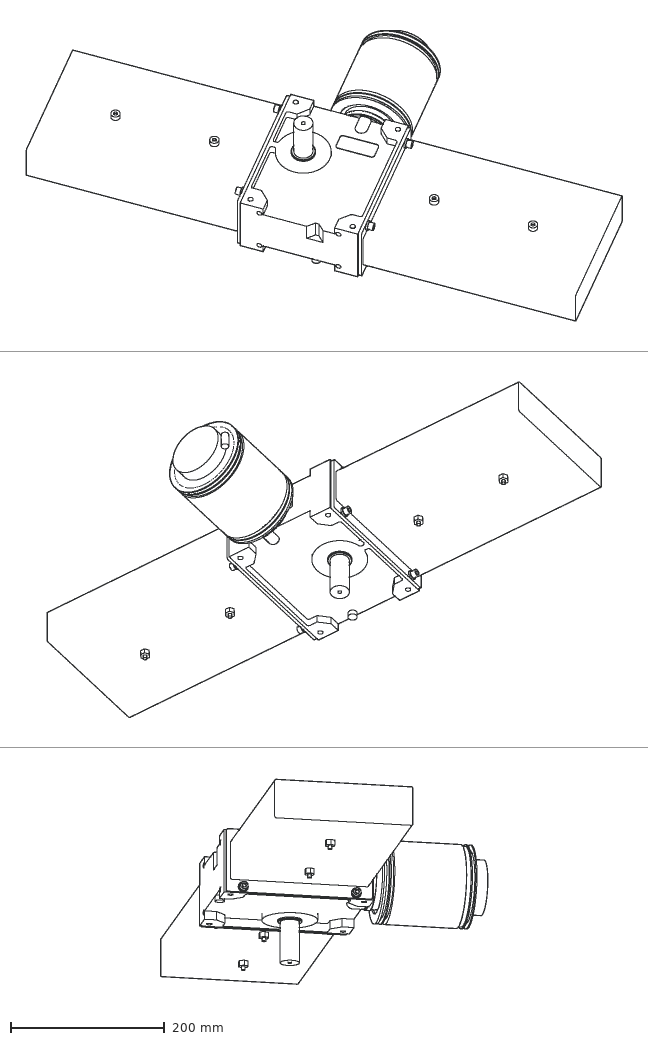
import cadquery as cq
import math


TOTAL_LENGTH = 758.0

HOUSING_X = 162.0
HOUSING_Y = 198.5
HOUSING_Z = 85.0
FACE_RECESS = 11.0
RIM = 4.5
POCKET_CORNER = 3.0
PAD_INNER_X = 49.0
PAD_INNER_Y = 70.0
PAD_CUT_X = 13.0
PAD_CUT_Y = 14.0
PAD_HOLE_X = 70.5
PAD_HOLE_Y = 89.0
PAD_HOLE_D = 6.7
FRONT_HOLE_X = 54.5
FRONT_HOLE_Z = 32.0
SMALL_HOLE_DEPTH = 7.5

SHAFT_X = -32.5
SHAFT_Y = 10.5
SHAFT_D = 25.0
SHAFT_LENGTH = 200.0
COLLAR_D = 32.0
COLLAR_HEIGHT = 2.0
COLLAR_CHAMFER = 1.0
CENTRE_HOLE_D = 4.9
BOSS_D = 73.0
BOSS_FOOT = 2.0
WEB_WIDTH = 9.0

INPUT_X = 22.0
INPUT_BULGE_D = 17.0
INPUT_BULGE_Z = 29.5
INPUT_BULGE_END_Y = 75.0
PLATE_X = 53.0
PLATE_Y = 23.0
PLATE_MIN_X = 1.0
PLATE_MIN_Y = 41.0
PLATE_CORNER = 4.0
PLATE_THICKNESS = 1.0
NOTCH_WIDTH = 23.0
NOTCH_FLOOR_WIDTH = 4.5
NOTCH_DEPTH = 9.0
NOTCH_BOTTOM_Z = 7.5
PLUG_D = 12.0
PLUG_HEIGHT = 7.0

CLUTCH_END_Y = 255.5
CLUTCH_D = 110.0
HUB_D = 73.0
STOP_RING_D = 76.0
GROOVE_D = 95.5
NECK_D = 105.0
RING_START_Y = 101.5
RING_END_Y = 108.0
END_RECESS_D = 83.5
END_RECESS_DEPTH = 2.0
DISC_THICKNESS = 1.5
INNER_PLATE_Y = 114.5
INNER_CONE_Y = 117.5
INNER_DISC_Y = 122.0
DRUM_START_Y = 128.0
DRUM_END_Y = 223.5
OUTER_DISC_Y = 230.0
OUTER_PLATE_Y = 236.0
OUTER_HUB_Y = 237.0
CLAMP_D = 10.0
CLAMP_LENGTH = 20.5
CLAMP_OFFSET_X = 41.0
CLAMP_YS = (105.0, 246.0)

FLANGE_THICKNESS = 4.5
FLANGE_Y = 194.0
FLANGE_CORNER = 2.0
GUARD_Y = 183.5
GUARD_Z = 52.0
GUARD_EDGE = 2.0
BOLT_Y = 75.0
BOLT_Z = 36.0
WASHER_D = 13.0
WASHER_THICKNESS = 2.0
BOLT_HEAD_D = 10.0
BOLT_HEAD_HEIGHT = 7.0
SOCKET_D = 4.9
SOCKET_DEPTH = 3.0
COVER_SCREW_XS = (151.5, 288.0)
COVER_HEAD_D = 12.0
COVER_HEAD_HEIGHT = 7.0
NUT_CORNERS_D = 13.0
STUD_D = 4.9
STUD_LENGTH = 4.5

HALF_X = HOUSING_X / 2
HALF_Y = HOUSING_Y / 2
HALF_Z = HOUSING_Z / 2
FLOOR_Z = HALF_Z - FACE_RECESS
FLANGE_FACE_X = HALF_X + FLANGE_THICKNESS


def cylinder(diameter, length, base, axis):
    """Solid cylinder starting at the base point and running along the axis."""
    return cq.Workplane(cq.Solid.makeCylinder(diameter / 2, length, cq.Vector(*base), cq.Vector(*axis)))


def both_faces(shape):
    """A shape together with its mirror image in the XY plane."""
    return shape.union(shape.mirror("XY"))


def corner_pad(side_x, side_y):
    """Raised pad in one corner of the pocket, with its inner corner cut off."""
    outline = [
        (PAD_INNER_X, HALF_Y),
        (PAD_INNER_X, PAD_INNER_Y + PAD_CUT_Y),
        (PAD_INNER_X + PAD_CUT_X, PAD_INNER_Y),
        (HALF_X, PAD_INNER_Y),
        (HALF_X, HALF_Y),
    ]
    points = [(side_x * x, side_y * y) for x, y in outline]
    return cq.Workplane("XY").workplane(offset=FLOOR_Z).polyline(points).close().extrude(FACE_RECESS)


def face_pocket():
    """Pocket in the upper face: it leaves the rims, pads, shaft boss and the boss web standing."""
    rim_x = HALF_X - RIM
    pocket = cq.Workplane("XY").box(2 * rim_x, HOUSING_Y, FACE_RECESS, centered=(True, True, False))
    pocket = pocket.translate((0, 0, FLOOR_Z))
    for side_x in (-1, 1):
        for side_y in (-1, 1):
            pocket = pocket.cut(corner_pad(side_x, side_y))

    boss = cylinder(BOSS_D, FACE_RECESS, (SHAFT_X, SHAFT_Y, FLOOR_Z), (0, 0, 1))
    web = (
        cq.Workplane("XY")
        .box(HALF_X + SHAFT_X, WEB_WIDTH, FACE_RECESS, centered=(False, True, False))
        .translate((-HALF_X, SHAFT_Y, FLOOR_Z))
    )
    pocket = pocket.cut(boss.union(web))

    web_end_x = SHAFT_X - math.sqrt((BOSS_D / 2) ** 2 - (WEB_WIDTH / 2) ** 2)
    reach = 1.0
    left_corners = cq.selectors.BoxSelector(
        (-rim_x - reach, -HALF_Y + reach, 0), (web_end_x + reach, HALF_Y - reach, HALF_Z)
    )
    right_corners = cq.selectors.BoxSelector(
        (rim_x - reach, -HALF_Y + reach, 0), (rim_x + reach, HALF_Y - reach, HALF_Z)
    )
    return pocket.edges("|Z").edges(left_corners + right_corners).fillet(POCKET_CORNER)


def boss_foot():
    """Flared foot between the shaft boss and the pocket floor."""
    radius = BOSS_D / 2
    arc_inset = BOSS_FOOT * (1 - math.sqrt(0.5))
    return (
        cq.Workplane("XZ")
        .lineTo(radius + BOSS_FOOT, 0)
        .threePointArc((radius + arc_inset, arc_inset), (radius, BOSS_FOOT))
        .lineTo(0, BOSS_FOOT)
        .close()
        .revolve(360, (0, 0, 0), (0, 1, 0))
        .translate((SHAFT_X, SHAFT_Y, FLOOR_Z))
    )


def input_bulge():
    """Round-ended bulge over the input bearing, half sunk in the pocket floor."""
    radius = INPUT_BULGE_D / 2
    centre_y = INPUT_BULGE_END_Y + radius
    barrel = cylinder(INPUT_BULGE_D, HALF_Y - centre_y, (INPUT_X, centre_y, INPUT_BULGE_Z), (0, 1, 0))
    nose = cq.Workplane("XY").sphere(radius).translate((INPUT_X, centre_y, INPUT_BULGE_Z))
    return barrel.union(nose)


def name_plate():
    return (
        cq.Workplane("XY")
        .box(PLATE_X, PLATE_Y, PLATE_THICKNESS, centered=False)
        .edges("|Z")
        .fillet(PLATE_CORNER)
        .translate((PLATE_MIN_X, PLATE_MIN_Y, FLOOR_Z))
    )


def front_notch():
    """Tapered notch in the front face, open to the upper pocket."""
    return (
        cq.Workplane("XY")
        .workplane(offset=NOTCH_BOTTOM_Z)
        .polyline([
            (INPUT_X - NOTCH_WIDTH / 2, -HALF_Y),
            (INPUT_X - NOTCH_FLOOR_WIDTH / 2, -HALF_Y + NOTCH_DEPTH),
            (INPUT_X + NOTCH_FLOOR_WIDTH / 2, -HALF_Y + NOTCH_DEPTH),
            (INPUT_X + NOTCH_WIDTH / 2, -HALF_Y),
        ])
        .close()
        .extrude(FLOOR_Z - NOTCH_BOTTOM_Z)
    )


def make_housing():
    body = cq.Workplane("XY").box(HOUSING_X, HOUSING_Y, HOUSING_Z)
    body = body.cut(both_faces(face_pocket()))
    body = body.union(both_faces(boss_foot()))
    body = body.union(both_faces(input_bulge()))
    body = body.union(name_plate())
    plug_base = (INPUT_X, PLUG_D / 2 - HALF_Y, -FLOOR_Z)
    body = body.union(cylinder(PLUG_D, PLUG_HEIGHT, plug_base, (0, 0, -1)))

    for side_x in (-1, 1):
        for side_y in (-1, 1):
            base = (side_x * PAD_HOLE_X, side_y * PAD_HOLE_Y, HALF_Z)
            body = body.cut(both_faces(cylinder(PAD_HOLE_D, SMALL_HOLE_DEPTH, base, (0, 0, -1))))
        base = (side_x * FRONT_HOLE_X, -HALF_Y, FRONT_HOLE_Z)
        body = body.cut(both_faces(cylinder(PAD_HOLE_D, SMALL_HOLE_DEPTH, base, (0, 1, 0))))

    body = body.cut(front_notch())
    return body.cut(cylinder(SHAFT_D, HOUSING_Z, (SHAFT_X, SHAFT_Y, -HALF_Z), (0, 0, 1)))


def make_shaft():
    """Double-ended output shaft with a collar resting on each boss."""
    half_length = SHAFT_LENGTH / 2
    shaft = cylinder(SHAFT_D, SHAFT_LENGTH, (SHAFT_X, SHAFT_Y, -half_length), (0, 0, 1))
    collar = (
        cylinder(COLLAR_D, COLLAR_HEIGHT, (SHAFT_X, SHAFT_Y, HALF_Z), (0, 0, 1))
        .faces(">Z")
        .chamfer(COLLAR_CHAMFER)
    )
    centre_hole = cylinder(CENTRE_HOLE_D, SMALL_HOLE_DEPTH, (SHAFT_X, SHAFT_Y, half_length), (0, 0, -1))
    return shaft.union(both_faces(collar)).cut(both_faces(centre_hole))


def make_clutch():
    """Clutch turned about the input axis, with a clamp screw barrel on each hub."""
    hub = HUB_D / 2
    ring = STOP_RING_D / 2
    drum = CLUTCH_D / 2
    groove = GROOVE_D / 2
    neck = NECK_D / 2
    recess = END_RECESS_D / 2
    profile = [
        (0, HALF_Y),
        (hub, HALF_Y),
        (hub, RING_START_Y),
        (ring, RING_START_Y),
        (ring, RING_END_Y),
        (hub, RING_END_Y),
        (hub, INNER_PLATE_Y + END_RECESS_DEPTH),
        (recess, INNER_PLATE_Y + END_RECESS_DEPTH),
        (recess, INNER_PLATE_Y),
        (drum, INNER_PLATE_Y),
        (drum, INNER_CONE_Y),
        (groove, INNER_DISC_Y),
        (drum, INNER_DISC_Y),
        (drum, INNER_DISC_Y + DISC_THICKNESS),
        (groove, INNER_DISC_Y + DISC_THICKNESS),
        (groove, DRUM_START_Y),
        (drum, DRUM_START_Y),
        (drum, DRUM_END_Y),
        (neck, DRUM_END_Y),
        (neck, OUTER_DISC_Y),
        (drum, OUTER_DISC_Y),
        (drum, OUTER_DISC_Y + DISC_THICKNESS),
        (groove, OUTER_DISC_Y + DISC_THICKNESS),
        (groove, OUTER_PLATE_Y),
        (drum, OUTER_PLATE_Y),
        (drum, OUTER_HUB_Y),
        (hub, OUTER_HUB_Y),
        (hub, CLUTCH_END_Y),
        (0, CLUTCH_END_Y),
    ]
    clutch = (
        cq.Workplane("XY")
        .polyline(profile)
        .close()
        .revolve(360, (0, 0, 0), (0, 1, 0))
        .translate((INPUT_X, 0, 0))
    )
    for y in CLAMP_YS:
        base = (INPUT_X - CLAMP_OFFSET_X, y, -CLAMP_LENGTH / 2)
        clutch = clutch.union(cylinder(CLAMP_D, CLAMP_LENGTH, base, (0, 0, 1)))
    return clutch


def flange_bolt(y, z):
    """Socket-head bolt with washer, standing on the outer face of the flange."""
    head_x = FLANGE_FACE_X + WASHER_THICKNESS
    tip_x = head_x + BOLT_HEAD_HEIGHT
    washer = cylinder(WASHER_D, WASHER_THICKNESS, (FLANGE_FACE_X, y, z), (1, 0, 0))
    head = cylinder(BOLT_HEAD_D, BOLT_HEAD_HEIGHT, (head_x, y, z), (1, 0, 0))
    socket = cylinder(SOCKET_D, SOCKET_DEPTH, (tip_x, y, z), (-1, 0, 0))
    return washer.union(head).cut(socket)


def cover_screw(x):
    """Screw through the guard: socket head above, nut and stud end below."""
    top = GUARD_Z / 2
    nut_bottom = -top - COVER_HEAD_HEIGHT
    head = cylinder(COVER_HEAD_D, COVER_HEAD_HEIGHT, (x, 0, top), (0, 0, 1))
    socket = cylinder(SOCKET_D, SOCKET_DEPTH, (x, 0, top + COVER_HEAD_HEIGHT), (0, 0, -1))
    nut = (
        cq.Workplane("XY")
        .workplane(offset=nut_bottom)
        .center(x, 0)
        .polygon(6, NUT_CORNERS_D)
        .extrude(COVER_HEAD_HEIGHT)
    )
    stud = cylinder(STUD_D, STUD_LENGTH, (x, 0, nut_bottom), (0, 0, -1))
    return head.cut(socket).union(nut).union(stud)


def make_guard(side):
    """Guard box on one side; it is built on +X and turned half round Z for -X."""
    flange = (
        cq.Workplane("XY")
        .box(FLANGE_THICKNESS, FLANGE_Y, HOUSING_Z, centered=(False, True, True))
        .edges("|X")
        .fillet(FLANGE_CORNER)
        .translate((HALF_X, 0, 0))
    )
    box = (
        cq.Workplane("XY")
        .box(TOTAL_LENGTH / 2 - HALF_X, GUARD_Y, GUARD_Z, centered=(False, True, True))
        .edges("|X")
        .fillet(GUARD_EDGE)
        .translate((HALF_X, 0, 0))
    )
    guard = flange.union(box)
    for y in (-BOLT_Y, BOLT_Y):
        for z in (-BOLT_Z, BOLT_Z):
            guard = guard.union(flange_bolt(y, z))
    for x in COVER_SCREW_XS:
        guard = guard.union(cover_screw(x))
    return guard if side > 0 else guard.rotate((0, 0, 0), (0, 0, 1), 180)


housing = make_housing()
shaft = make_shaft()
clutch = make_clutch()
guards = [make_guard(side) for side in (-1, 1)]

result = cq.Compound.makeCompound([
    housing.solids().val(),
    shaft.solids().val(),
    clutch.solids().val(),
    *[guard.solids().val() for guard in guards],
])